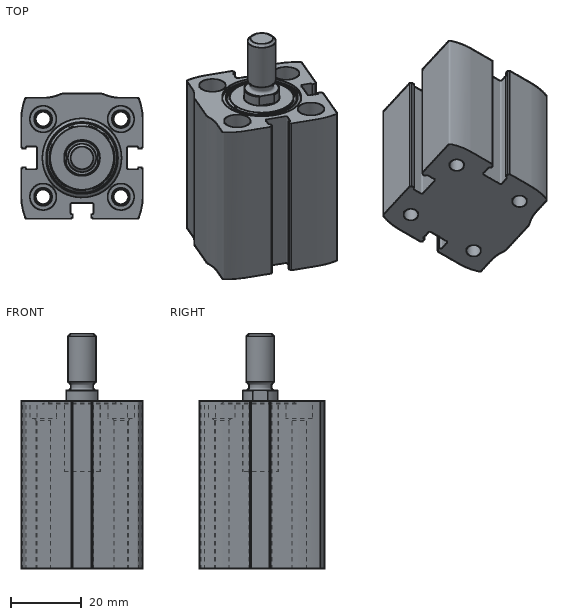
import cadquery as cq
import math

WIDTH = 34.5
HALF_WIDTH = WIDTH / 2
DEPTH = 35.5
HEIGHT = 47.5
FRONT_Y = -HALF_WIDTH
BUMP_HEIGHT = 1.2
CREST_Y = FRONT_Y + DEPTH
SHOULDER_Y = CREST_Y - BUMP_HEIGHT
SIDE_FLAT_HALF = 10.7
SIDE_CURVE_RADIUS = 17.0
CORNER_RADIUS = 0.6
BUMP_FLAT_HALF = 5.2
BUMP_FOOT_HALF = 10.8
BUMP_CREST_RADIUS = 2.5

SLOT_MOUTH_HALF = 2.6
SLOT_CAVITY_HALF = 3.2
SLOT_DEPTH = 4.5
SLOT_LIP = 1.35
SLOT_ROUND = 0.4

HOLE_SPACING = 22.0
HOLE_DIAMETER = 4.13
HOLE_CHAMFER_DIAMETER = 5.1
COUNTERBORE_DIAMETER = 7.5
COUNTERBORE_DEPTH = 5.0

HEAD_RADIUS = 9.0
HEAD_EDGE_RADIUS = 9.25
HEAD_EDGE_DROP = 0.1
INNER_FLOOR_RADIUS = 9.85
INNER_GROOVE_DEPTH = 0.6
RING_INNER_RADIUS = 20.0 / 2
RING_CREST_RADIUS = 10.2
RING_CREST_DROP = 0.1
OUTER_GROOVE_RADIUS = 22.4 / 2
OUTER_GROOVE_DEPTH = 0.8

ROD_DIAMETER = 10.0
ROD_BORE_DIAMETER = 10.2
ROD_BORE_DEPTH = 20.0
COLLAR_LENGTH = 3.0
COLLAR_CHAMFER = 0.2
FLATS_WIDTH = 9.0
THREAD_DIAMETER = 8.0
NECK_DIAMETER = 6.4
THREAD_CHAMFER = (THREAD_DIAMETER - NECK_DIAMETER) / 2
ROD_TOP = 66.5
THREAD_BOTTOM = 52.9
NECK_BASE_FILLET = 0.8
NECK_TOP_FILLET = 0.5

ROD_BOTTOM = HEIGHT - ROD_BORE_DEPTH
COLLAR_TOP = HEIGHT + COLLAR_LENGTH


def side_curve_x(y):
    """Half width of the block at a given Y, on the curved ends of the sides."""
    along = abs(y) - SIDE_FLAT_HALF
    return HALF_WIDTH - SIDE_CURVE_RADIUS + math.sqrt(SIDE_CURVE_RADIUS**2 - along**2)


def housing_block():
    """Extruded outline: flat front, sides curving in at both ends, raised middle at the back."""
    front_corner_x = side_curve_x(FRONT_Y)
    back_corner_x = side_curve_x(SHOULDER_Y)

    run = BUMP_FOOT_HALF - BUMP_FLAT_HALF
    bend = 2 * math.atan(BUMP_HEIGHT / run)
    foot_radius = run / math.sin(bend) - BUMP_CREST_RADIUS
    join_x = BUMP_FOOT_HALF - foot_radius * math.sin(bend)
    join_y = SHOULDER_Y + foot_radius * (1 - math.cos(bend))

    outline = (
        cq.Workplane("XY")
        .moveTo(-front_corner_x, FRONT_Y)
        .lineTo(front_corner_x, FRONT_Y)
        .radiusArc((HALF_WIDTH, -SIDE_FLAT_HALF), -SIDE_CURVE_RADIUS)
        .lineTo(HALF_WIDTH, SIDE_FLAT_HALF)
        .radiusArc((back_corner_x, SHOULDER_Y), -SIDE_CURVE_RADIUS)
        .lineTo(BUMP_FOOT_HALF, SHOULDER_Y)
        .radiusArc((join_x, join_y), foot_radius)
        .radiusArc((BUMP_FLAT_HALF, CREST_Y), -BUMP_CREST_RADIUS)
        .lineTo(-BUMP_FLAT_HALF, CREST_Y)
        .radiusArc((-join_x, join_y), -BUMP_CREST_RADIUS)
        .radiusArc((-BUMP_FOOT_HALF, SHOULDER_Y), foot_radius)
        .lineTo(-back_corner_x, SHOULDER_Y)
        .radiusArc((-HALF_WIDTH, SIDE_FLAT_HALF), -SIDE_CURVE_RADIUS)
        .lineTo(-HALF_WIDTH, -SIDE_FLAT_HALF)
        .radiusArc((-front_corner_x, FRONT_Y), -SIDE_CURVE_RADIUS)
        .close()
    )
    block = outline.extrude(HEIGHT)
    for corner_x, corner_y in ((front_corner_x, FRONT_Y), (back_corner_x, SHOULDER_Y)):
        for side in (-1, 1):
            corner_edge = cq.selectors.NearestToPointSelector((side * corner_x, corner_y, HEIGHT / 2))
            block = block.edges("|Z").edges(corner_edge).fillet(CORNER_RADIUS)
    return block


def slot_void():
    """Space inside the front T-slot, with rounded mouth edges and cavity corners."""
    half_profile = (
        cq.Workplane("XY")
        .moveTo(0, FRONT_Y)
        .lineTo(SLOT_MOUTH_HALF + SLOT_ROUND, FRONT_Y)
        .radiusArc((SLOT_MOUTH_HALF, FRONT_Y + SLOT_ROUND), -SLOT_ROUND)
        .lineTo(SLOT_MOUTH_HALF, FRONT_Y + SLOT_LIP)
        .lineTo(SLOT_CAVITY_HALF - SLOT_ROUND, FRONT_Y + SLOT_LIP)
        .radiusArc((SLOT_CAVITY_HALF, FRONT_Y + SLOT_LIP + SLOT_ROUND), -SLOT_ROUND)
        .lineTo(SLOT_CAVITY_HALF, FRONT_Y + SLOT_DEPTH - SLOT_ROUND)
        .radiusArc((SLOT_CAVITY_HALF - SLOT_ROUND, FRONT_Y + SLOT_DEPTH), -SLOT_ROUND)
        .lineTo(0, FRONT_Y + SLOT_DEPTH)
        .close()
    )
    half = half_profile.extrude(HEIGHT)
    return half.union(half.mirror("YZ"))


def mounting_hole():
    """Stepped space of one mounting hole, on the Z axis."""
    seat = HEIGHT - COUNTERBORE_DEPTH
    hole_radius = HOLE_DIAMETER / 2
    chamfer_radius = HOLE_CHAMFER_DIAMETER / 2
    profile = [
        (0, 0),
        (hole_radius, 0),
        (hole_radius, seat - (chamfer_radius - hole_radius)),
        (chamfer_radius, seat),
        (COUNTERBORE_DIAMETER / 2, seat),
        (COUNTERBORE_DIAMETER / 2, HEIGHT),
        (0, HEIGHT),
    ]
    return cq.Workplane("XZ").polyline(profile).close().revolve(360, (0, 0), (0, 1))


def ring_grooves():
    """Two concentric grooves with outward-sloping flanks, joined above the ring between them."""
    inner_floor = HEIGHT - INNER_GROOVE_DEPTH
    ring_crest = HEIGHT - RING_CREST_DROP
    profile = [
        (HEAD_RADIUS, HEIGHT),
        (HEAD_EDGE_RADIUS, HEIGHT - HEAD_EDGE_DROP),
        (INNER_FLOOR_RADIUS, inner_floor),
        (RING_INNER_RADIUS, inner_floor),
        (RING_INNER_RADIUS, ring_crest),
        (RING_CREST_RADIUS, ring_crest),
        (OUTER_GROOVE_RADIUS, HEIGHT - OUTER_GROOVE_DEPTH),
        (OUTER_GROOVE_RADIUS, HEIGHT),
    ]
    return cq.Workplane("XZ").polyline(profile).close().revolve(360, (0, 0), (0, 1))


def build_housing():
    body = housing_block()
    for angle in (-90, 0, 90):
        body = body.cut(slot_void().rotate((0, 0, 0), (0, 0, 1), angle))
    half_spacing = HOLE_SPACING / 2
    for x in (-half_spacing, half_spacing):
        for y in (-half_spacing, half_spacing):
            body = body.cut(mounting_hole().translate((x, y, 0)))
    body = body.cut(ring_grooves())
    rod_bore = cq.Workplane("XY").circle(ROD_BORE_DIAMETER / 2).extrude(ROD_BORE_DEPTH)
    return body.cut(rod_bore.translate((0, 0, ROD_BOTTOM)))


def build_rod():
    rod_radius = ROD_DIAMETER / 2
    neck_radius = NECK_DIAMETER / 2
    thread_radius = THREAD_DIAMETER / 2

    chamfer_foot = THREAD_BOTTOM - THREAD_CHAMFER
    tangent = NECK_TOP_FILLET * math.tan(math.radians(45 / 2))
    tangent_step = tangent * math.cos(math.radians(45))

    profile = (
        cq.Workplane("XZ")
        .moveTo(0, ROD_BOTTOM)
        .lineTo(rod_radius, ROD_BOTTOM)
        .lineTo(rod_radius, COLLAR_TOP - COLLAR_CHAMFER)
        .lineTo(rod_radius - COLLAR_CHAMFER, COLLAR_TOP)
        .lineTo(neck_radius + NECK_BASE_FILLET, COLLAR_TOP)
        .radiusArc((neck_radius, COLLAR_TOP + NECK_BASE_FILLET), NECK_BASE_FILLET)
        .lineTo(neck_radius, chamfer_foot - tangent)
        .radiusArc((neck_radius + tangent_step, chamfer_foot + tangent_step), NECK_TOP_FILLET)
        .lineTo(thread_radius, THREAD_BOTTOM)
        .lineTo(thread_radius, ROD_TOP - THREAD_CHAMFER)
        .lineTo(thread_radius - THREAD_CHAMFER, ROD_TOP)
        .lineTo(0, ROD_TOP)
        .close()
    )
    body = profile.revolve(360, (0, 0), (0, 1))

    flat_offset = FLATS_WIDTH / 2
    for side in (-1, 1):
        waste = cq.Workplane("XY").box(ROD_DIAMETER, ROD_DIAMETER, COLLAR_LENGTH, centered=(True, True, False))
        body = body.cut(waste.translate((side * (flat_offset + rod_radius), 0, HEIGHT)))
    return body


housing = build_housing()
rod = build_rod()

result = cq.Compound.makeCompound([housing.val(), rod.val()])